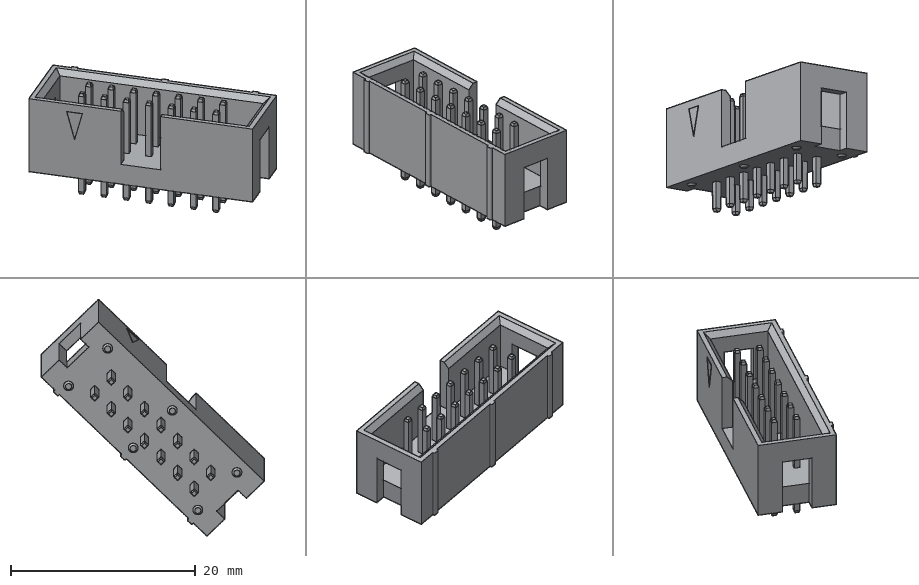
import cadquery as cq


length = 25.4
width = 8.8
height = 8.8
wall = 1.17
floor_thickness = 2.4
lip_chamfer = 0.6

key_slot_width = 4.52
end_slot_width = 3.3
end_slot_height = 6.27
end_slot_depth = 1.25

pins_per_row = 7
row_count = 2
pitch = 2.55
pin_size = 0.64
pin_drop = 3.3
pin_taper_inset = 0.1
pin_taper_height = 0.3

foot_spacing_x = 9.9
foot_spacing_y = 6.0
foot_base_diameter = 1.07
foot_tip_diameter = 0.65
foot_height = 0.23

rib_spacing = 10.25
rib_width = 0.7
rib_depth = 0.241
rib_rounding = 0.1

mark_x = -7.5
mark_width = 1.78
mark_height = 3.23
mark_top_gap = 0.91
mark_relief = 0.064

front_y = -width / 2
back_y = width / 2


def block(size_x, size_y, bottom, top, x=0.0, y=0.0):
    """Box centred on (x, y) that fills the heights from bottom to top."""
    base = cq.Workplane("XY", origin=(x, y, bottom))
    return base.rect(size_x, size_y).extrude(top - bottom)


def make_housing():
    """Open box with a chamfered lip, a key slot in front and a slot in each end."""
    cavity_length = length - 2 * wall
    cavity_width = width - 2 * wall
    housing = block(length, width, 0, height)
    housing = housing.cut(block(cavity_length, cavity_width, floor_thickness, height))

    lip_flare = (
        cq.Workplane("XY", origin=(0, 0, height - lip_chamfer))
        .rect(cavity_length, cavity_width)
        .workplane(offset=lip_chamfer)
        .rect(cavity_length + 2 * lip_chamfer, cavity_width + 2 * lip_chamfer)
        .loft(combine=True)
    )
    housing = housing.cut(lip_flare)

    key_slot = block(key_slot_width, width / 2, floor_thickness, height, y=front_y / 2)
    housing = housing.cut(key_slot)

    for side in (-1, 1):
        slot_x = side * (length - end_slot_depth) / 2
        housing = housing.cut(block(end_slot_depth, end_slot_width, 0, end_slot_height, x=slot_x))
    return housing


def make_pin(x, y):
    """Square pin with both ends tapered, its upper tip level with the housing top."""
    tip_size = pin_size - 2 * pin_taper_inset
    shaft_bottom = -pin_drop + pin_taper_height
    shaft_top = height - pin_taper_height
    pin = block(pin_size, pin_size, shaft_bottom, shaft_top, x=x, y=y)
    for shaft_end, direction in ((shaft_bottom, -1), (shaft_top, 1)):
        taper = (
            cq.Workplane("XY", origin=(x, y, shaft_end))
            .rect(pin_size, pin_size)
            .workplane(offset=direction * pin_taper_height)
            .rect(tip_size, tip_size)
            .loft(combine=True)
        )
        pin = pin.union(taper)
    return pin


def make_foot(x, y):
    """Conical standoff that narrows downwards."""
    return (
        cq.Workplane("XY", origin=(x, y, 0))
        .circle(foot_base_diameter / 2)
        .workplane(offset=-foot_height)
        .circle(foot_tip_diameter / 2)
        .loft(combine=True)
    )


def make_rib(x):
    """Full-height rib on the back wall with rounded outer edges, half sunk into the wall."""
    rib = block(rib_width, 2 * rib_depth, 0, height, x=x, y=back_y)
    return rib.edges("|Z and >Y").fillet(rib_rounding)


def make_mark():
    """Thin raised triangle pointing down at pin one."""
    top = height - mark_top_gap
    corners = [
        (mark_x - mark_width / 2, top),
        (mark_x + mark_width / 2, top),
        (mark_x, top - mark_height),
    ]
    return cq.Workplane("XZ", origin=(0, front_y, 0)).polyline(corners).close().extrude(mark_relief)


result = make_housing().union(make_mark())

for column in range(pins_per_row):
    for row in range(row_count):
        pin_x = (column - (pins_per_row - 1) / 2) * pitch
        pin_y = (row - (row_count - 1) / 2) * pitch
        result = result.union(make_pin(pin_x, pin_y))

for position in (-1, 0, 1):
    result = result.union(make_rib(position * rib_spacing))
    for side in (-1, 1):
        result = result.union(make_foot(position * foot_spacing_x, side * foot_spacing_y / 2))